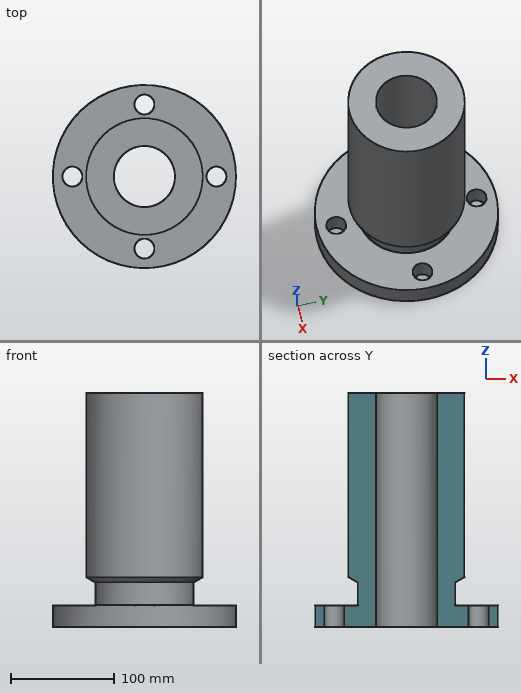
import cadquery as cq

total_height = 227.0
flange_diameter = 177.7
flange_thickness = 21.0

body_diameter = 113.0
neck_diameter = 95.3
bore_diameter = 59.0
neck_top = 43.4
body_bottom = 48.4

relief_depth = 0.5
relief_height = 0.7

bolt_hole_count = 4
bolt_hole_diameter = 19.0
bolt_circle_diameter = 139.5


def make_turned_body():
    """Flange, relieved neck, conical flare and body revolved in one piece around the bore."""
    bore_radius = bore_diameter / 2
    flange_radius = flange_diameter / 2
    neck_radius = neck_diameter / 2
    relief_radius = neck_radius - relief_depth
    relief_top = flange_thickness + relief_height
    body_radius = body_diameter / 2
    profile = (
        cq.Workplane("XZ")
        .moveTo(bore_radius, 0)
        .lineTo(flange_radius, 0)
        .lineTo(flange_radius, flange_thickness)
        .lineTo(relief_radius, flange_thickness)
        .lineTo(relief_radius, relief_top)
        .lineTo(neck_radius, relief_top)
        .lineTo(neck_radius, neck_top)
        .lineTo(body_radius, body_bottom)
        .lineTo(body_radius, total_height)
        .lineTo(bore_radius, total_height)
        .close()
    )
    return profile.revolve(360, (0, 0, 0), (0, 1, 0))


def make_bolt_holes():
    """Cylinders on the bolt circle, one on each half-axis of X and Y."""
    return (
        cq.Workplane("XY")
        .polarArray(bolt_circle_diameter / 2, 0, 360, bolt_hole_count)
        .circle(bolt_hole_diameter / 2)
        .extrude(flange_thickness)
    )


result = make_turned_body().cut(make_bolt_holes())